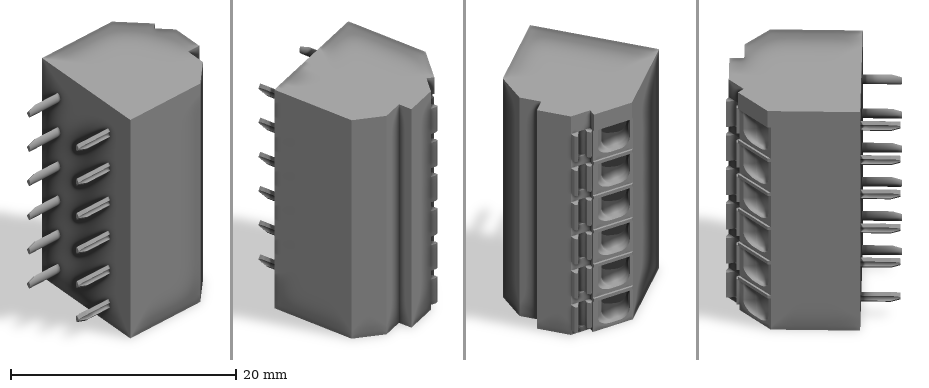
import cadquery as cq
import math

HOUSING_WIDTH = 12.0
HOUSING_DEPTH = 11.77
HOUSING_HEIGHT = 24.35
WIRE_SHOULDER_Y = 8.2
WIRE_FACE_RUN = 2.7
GROOVE_WALL_RUN = 0.5
STEP_X = 7.75
STEP_Y = 10.45
REAR_CHAMFER = 2.25

POLE_COUNT = 6
TOP_PIN_Z = 21.2
BOTTOM_PIN_Z = 2.15
PITCH = (TOP_PIN_Z - BOTTOM_PIN_Z) / (POLE_COUNT - 1)

RECESS_ABOVE_PIN = 1.32
RECESS_HEIGHT = BOTTOM_PIN_Z + RECESS_ABOVE_PIN
RECESS_DROP = 0.27

ENTRY_LOW_Y = 8.15
ENTRY_HIGH_Y = 10.43
ENTRY_HEIGHT = 3.05
ENTRY_RADIUS = 0.97
FUNNEL_LENGTH = 1.1
HOLE_LENGTH = 2.2
HOLE_LEAN = math.radians(25)
ROOF_ANGLE = math.radians(22)

ACTUATOR_ABOVE_PIN = 1.22
ACTUATOR_HEIGHT = 2.83
TOOTH_TOP_Y = 12.0
TOOTH_FRONT_X = 3.9
TOOTH_TOP_WIDTH = 0.27
TOOTH_LEAN = 0.3
LIP_FRONT_X = 2.95
LIP_TOP_Y = 11.04
LIP_TOP_WIDTH = 0.37
LIP_END_X = 3.55
SLOT_DEPTH = 0.4

PIN_LENGTH = 3.55
PIN_OPEN_SIDE_X = 1.95
PIN_HALF_WIDTH = 0.54
PIN_OUTER_CORNER_X = 0.22
PIN_OUTER_CREST_X = 0.54
PIN_INNER_CORNER_Z = 0.27
PIN_INNER_BEND_X = 0.07
PIN_INNER_BEND_Z = 0.2
PIN_INNER_CREST_X = 0.15
PIN_ROW_MIDDLE_X = 5.6
PIN_TAPER_LENGTH = 0.88
PIN_TAPER_DEPTH = 0.25

PEAK_X = WIRE_FACE_RUN
PEAK_Y = WIRE_SHOULDER_Y + WIRE_FACE_RUN
VALLEY_X = PEAK_X + GROOVE_WALL_RUN
VALLEY_Y = PEAK_Y - GROOVE_WALL_RUN
RIDGE_X = VALLEY_X + HOUSING_DEPTH - VALLEY_Y
SLOPE_OFFSET = VALLEY_Y - VALLEY_X

TOOTH_FOOT_X = (TOOTH_FRONT_X + TOOTH_LEAN * (HOUSING_DEPTH - SLOPE_OFFSET)) / (1 + TOOTH_LEAN)
TOOTH_FOOT_Y = TOOTH_FOOT_X + SLOPE_OFFSET


def prism(points, z_low, height):
    """Extrude a closed XY polygon upward from z_low."""
    return cq.Workplane("XY", origin=(0, 0, z_low)).polyline(points).close().extrude(height)


def housing():
    outline = [
        (0, 0),
        (HOUSING_WIDTH, 0),
        (HOUSING_WIDTH, STEP_Y - REAR_CHAMFER),
        (HOUSING_WIDTH - REAR_CHAMFER, STEP_Y),
        (STEP_X, STEP_Y),
        (STEP_X, HOUSING_DEPTH),
        (RIDGE_X, HOUSING_DEPTH),
        (VALLEY_X, VALLEY_Y),
        (PEAK_X, PEAK_Y),
        (0, WIRE_SHOULDER_Y),
    ]
    return prism(outline, 0, HOUSING_HEIGHT)


def recess(z_top):
    """Cutter that lowers the wire-entry face of one pole."""
    half_drop = RECESS_DROP / 2
    outline = [
        (0, WIRE_SHOULDER_Y - RECESS_DROP),
        (PEAK_X + half_drop, PEAK_Y - half_drop),
        (PEAK_X, PEAK_Y),
        (0, PEAK_Y),
    ]
    return prism(outline, z_top - RECESS_HEIGHT, RECESS_HEIGHT)


def wire_entry(z_top):
    """Cutter for one funnel and hole, rounded along the bottom."""
    recess_start_y = WIRE_SHOULDER_Y - RECESS_DROP
    low_x = ENTRY_LOW_Y - recess_start_y
    high_x = ENTRY_HIGH_Y - recess_start_y
    fold_y = ENTRY_HIGH_Y - FUNNEL_LENGTH
    hole_x = HOLE_LENGTH * math.sin(HOLE_LEAN)
    hole_y = -HOLE_LENGTH * math.cos(HOLE_LEAN)
    outline = [
        (low_x, ENTRY_LOW_Y),
        (high_x, ENTRY_HIGH_Y),
        (high_x, fold_y),
        (high_x + hole_x, fold_y + hole_y),
        (low_x + hole_x, ENTRY_LOW_Y + hole_y),
    ]
    pocket = prism(outline, z_top - ENTRY_HEIGHT, ENTRY_HEIGHT)

    mouth_edge = cq.selectors.ParallelDirSelector(cq.Vector(1, 1, 0))
    side_walls = pocket.faces("<Z").edges(-mouth_edge).edges("not <Y")
    pocket = side_walls.fillet(ENTRY_RADIUS)

    along_hole = cq.Plane(origin=(high_x, fold_y, z_top), xDir=(hole_x, hole_y, 0), normal=(hole_y, -hole_x, 0))
    wedge_length = 2 * HOLE_LENGTH
    wedge_drop = wedge_length * math.tan(ROOF_ANGLE)
    wedge = (
        cq.Workplane(along_hole)
        .polyline([(0, 0), (wedge_length, 0), (wedge_length, -wedge_drop)])
        .close()
        .extrude(HOUSING_WIDTH, both=True)
    )
    return pocket.cut(wedge)


def actuator_slot(z_low):
    """Cutter for the V-shaped driver slot below the slope."""
    outline = [
        (LIP_END_X, LIP_END_X + SLOPE_OFFSET),
        (TOOTH_FOOT_X, TOOTH_FOOT_Y),
        (TOOTH_FOOT_X + TOOTH_LEAN * SLOT_DEPTH, TOOTH_FOOT_Y - SLOT_DEPTH),
    ]
    return prism(outline, z_low, ACTUATOR_HEIGHT)


def actuator_lip(z_low):
    outline = [
        (LIP_FRONT_X, VALLEY_Y),
        (LIP_FRONT_X, LIP_TOP_Y),
        (LIP_FRONT_X + LIP_TOP_WIDTH, LIP_TOP_Y),
        (LIP_END_X, LIP_END_X + SLOPE_OFFSET),
        (VALLEY_X, VALLEY_Y),
    ]
    return prism(outline, z_low, ACTUATOR_HEIGHT)


def actuator_tooth(z_low):
    outline = [
        (TOOTH_FOOT_X, TOOTH_FOOT_Y),
        (TOOTH_FRONT_X, HOUSING_DEPTH),
        (TOOTH_FRONT_X, TOOTH_TOP_Y),
        (TOOTH_FRONT_X + TOOTH_TOP_WIDTH, TOOTH_TOP_Y),
        (RIDGE_X, HOUSING_DEPTH),
    ]
    return prism(outline, z_low, ACTUATOR_HEIGHT)


def pin_taper():
    """Wedge that trims the upper end facet of a pin towards its tip."""
    facet_x = PIN_OUTER_CORNER_X
    facet_z = PIN_HALF_WIDTH - PIN_INNER_CORNER_Z
    facet_plane = cq.Plane(
        origin=(PIN_OPEN_SIDE_X, 0, PIN_INNER_CORNER_Z),
        xDir=(0, -1, 0),
        normal=(facet_x, 0, facet_z),
    )
    return (
        cq.Workplane(facet_plane)
        .polyline([
            (PIN_LENGTH - PIN_TAPER_LENGTH, 0),
            (PIN_LENGTH, 0),
            (PIN_LENGTH, PIN_TAPER_DEPTH),
        ])
        .close()
        .extrude(2 * PIN_HALF_WIDTH, both=True)
    )


def pin(z):
    """Left-row pin, open towards -X."""
    blade = (
        cq.Workplane("XZ", origin=(PIN_OPEN_SIDE_X, 0, 0))
        .moveTo(PIN_OUTER_CORNER_X, -PIN_HALF_WIDTH)
        .threePointArc((PIN_OUTER_CREST_X, 0), (PIN_OUTER_CORNER_X, PIN_HALF_WIDTH))
        .lineTo(0, PIN_INNER_CORNER_Z)
        .lineTo(PIN_INNER_BEND_X, PIN_INNER_BEND_Z)
        .threePointArc((PIN_INNER_CREST_X, 0), (PIN_INNER_BEND_X, -PIN_INNER_BEND_Z))
        .lineTo(0, -PIN_INNER_CORNER_Z)
        .close()
        .extrude(PIN_LENGTH)
    )
    upper_taper = pin_taper()
    lower_taper = upper_taper.mirror("XY")
    return blade.cut(upper_taper).cut(lower_taper).translate((0, 0, z))


result = housing()
for pole in range(POLE_COUNT):
    pin_z = BOTTOM_PIN_Z + pole * PITCH
    recess_top = pin_z + RECESS_ABOVE_PIN
    actuator_low = pin_z + ACTUATOR_ABOVE_PIN - ACTUATOR_HEIGHT
    left_pin = pin(pin_z)
    right_pin = left_pin.mirror("YZ", (PIN_ROW_MIDDLE_X, 0, 0))
    result = result.cut(recess(recess_top)).cut(wire_entry(recess_top)).cut(actuator_slot(actuator_low))
    result = result.union(actuator_lip(actuator_low)).union(actuator_tooth(actuator_low))
    result = result.union(left_pin).union(right_pin)